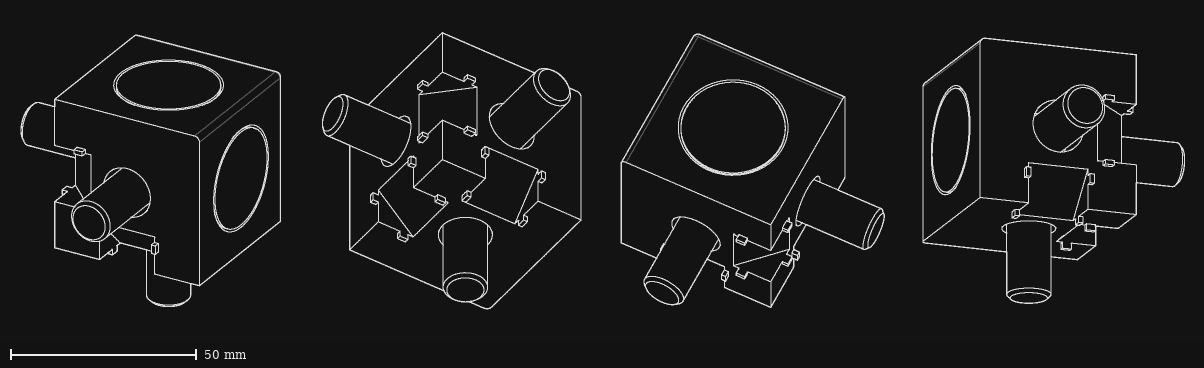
import cadquery as cq


cube_side = 45.0
half_side = cube_side / 2
edge_radius = 1.5

overall_x = 65.5
overall_z = 64.5
screw_diameter = 12.0
screw_tip_chamfer = 1.0
screw_hole_diameter = 14.55
screw_hole_depth = 13.1
side_screw_reach = overall_x - cube_side
lower_screw_reach = overall_z - cube_side

cap_diameter = 28.15
cap_thickness = 3.0
cap_seat_chamfer = 0.7

notch_leg = 11.25
notch_length = 17.0

tab_start = 7.0
tab_width = 2.55
tab_thickness = 1.25
tab_height = 1.7

Z_AXIS, X_AXIS, Y_AXIS = range(3)
AXES = (Z_AXIS, X_AXIS, Y_AXIS)
turn_angle = 360 / len(AXES)


def turned(shape, axis):
    """Turn a shape made for the Z direction onto another axis."""
    return shape.rotate((0, 0, 0), (1, 1, 1), turn_angle * axis)


def make_cap_seat():
    """Recess in the +Z face with a chamfered mouth."""
    mouth_radius = cap_diameter / 2 + cap_seat_chamfer
    bore = cq.Workplane("XY", origin=(0, 0, half_side - cap_thickness)).circle(cap_diameter / 2)
    bore = bore.extrude(cap_thickness)
    mouth = cq.Workplane("XY", origin=(0, 0, half_side)).circle(mouth_radius)
    mouth = mouth.extrude(-cap_seat_chamfer, taper=45)
    return bore.union(mouth)


def make_screw_hole():
    """Blind hole in the -Z face."""
    hole = cq.Workplane("XY", origin=(0, 0, -half_side)).circle(screw_hole_diameter / 2)
    return hole.extrude(screw_hole_depth)


def make_notch():
    """Triangular prism along the vertical edge between the -X and -Y faces."""
    notch = cq.Workplane("XY", origin=(-half_side, -half_side, -notch_length / 2))
    notch = notch.polyline([(0, 0), (notch_leg, 0), (0, notch_leg)]).close()
    return notch.extrude(notch_length)


def make_notch_tabs():
    """Four tabs, on the -X and -Y faces just above and below the notch."""
    tab_place = -half_side + tab_start + tab_width / 2
    tab_middle = -half_side - tab_height / 2
    tab_level = notch_length / 2 + tab_thickness / 2
    tabs = cq.Workplane("XY")
    for level in (-tab_level, tab_level):
        front_tab = cq.Workplane("XY").box(tab_width, tab_height, tab_thickness)
        side_tab = cq.Workplane("XY").box(tab_height, tab_width, tab_thickness)
        tabs = tabs.add(front_tab.translate((tab_place, tab_middle, level)))
        tabs = tabs.add(side_tab.translate((tab_middle, tab_place, level)))
    return tabs.combine()


def make_cube():
    cube = cq.Workplane("XY").box(cube_side, cube_side, cube_side)
    cube = cube.edges("(>X and >Y) or (>Y and >Z) or (>Z and >X)").fillet(edge_radius)
    for axis in AXES:
        cube = cube.cut(turned(make_cap_seat(), axis))
        cube = cube.cut(turned(make_screw_hole(), axis))
        cube = cube.cut(turned(make_notch(), axis))
        cube = cube.union(turned(make_notch_tabs(), axis))
    return cube.solids()


def make_screw(axis):
    """Plain shank from the bottom of its hole to a chamfered tip."""
    reach = lower_screw_reach if axis == Z_AXIS else side_screw_reach
    shank = cq.Workplane("XY", origin=(0, 0, -half_side - reach)).circle(screw_diameter / 2)
    shank = shank.extrude(reach + screw_hole_depth).faces("<Z").chamfer(screw_tip_chamfer)
    return turned(shank, axis)


def make_cap(axis):
    """Disc that fills its seat flush with the cube face."""
    disc = cq.Workplane("XY", origin=(0, 0, half_side)).circle(cap_diameter / 2)
    return turned(disc.extrude(-cap_thickness), axis)


cube = make_cube()
screws = [make_screw(axis) for axis in AXES]
caps = [make_cap(axis) for axis in AXES]

result = cq.Compound.makeCompound([cube.val(), *[body.val() for body in screws + caps]])